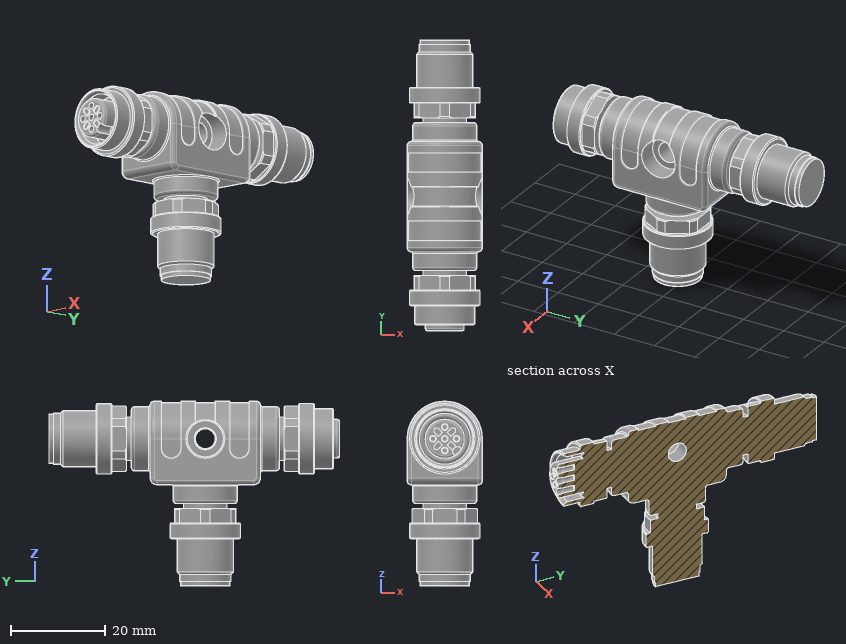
import cadquery as cq
import math


HOUSING_RADIUS = 8.0
HOUSING_HALF_LENGTH = 11.75
HOUSING_BOTTOM = 9.8
END_ROUND = 0.9
BOTTOM_ROUND = 1.5

GROOVE_DEPTH = 0.3
GROOVE_WIDTH = 4.1
GROOVE_PITCH = 7.25
GROOVE_END_DEPTH = 4.1
GROOVE_EDGE_ROUND = 0.12

SEAT_DIAMETER = 8.3
SEAT_FLOOR_DIAMETER = 7.7
SEAT_FLOOR_OFFSET = 4.0
HOLE_MOUTH_DIAMETER = 4.7
HOLE_DIAMETER = 4.2

COLLAR_DIAMETER = 13.65
COLLAR_END = 4.0
COLLAR_ROUND = 0.7
COLLAR_ROOT_FLARE = 0.3
NECK_DIAMETER = 9.3
NECK_END = 5.0
HEX_FLATS = 13.0
HEX_CORNER_DIAMETER = 14.0
HEX_CHAMFER = 0.25
HEX_END = 8.1
RING_DIAMETER = 15.0
RING_END = 11.5
RING_CHAMFER = 0.2
RING_FACE_DIAMETER = 14.3

PLUG_DIAMETER = 12.0
PLUG_END = 18.5
PLUG_TAPER_END = 19.05
LIP_DIAMETER = 10.95
LIP_END = 20.55
TIP_DIAMETER = 10.5
TIP_END = 21.5

SHELL_DIAMETER = 12.8
SHELL_EDGE_CHAMFER = 0.25
SHELL_END = 15.55
SHELL_BORE_DIAMETER = 10.8
SHELL_TAPER_DIAMETER = 11.7
SHELL_MOUTH_DIAMETER = 12.0
MOUTH_EDGE_LENGTH = 0.2
MOUTH_TAPER_LENGTH = 1.0
BORE_DEPTH = 5.0
INSERT_DIAMETER = 8.3
INSERT_END = 16.8
INSERT_ROUND = 0.5

CONTACT_CIRCLE_RADIUS = 2.5
CONTACT_DIAMETER = 1.15
CONTACT_MOUTH_DIAMETER = 1.4
CONTACT_MOUTH_DEPTH = 1.5
CONTACT_DEPTH = 4.0
POCKET_INNER_RADIUS = 1.3
POCKET_OUTER_RADIUS = 3.05
POCKET_WIDTH = 1.2
POCKET_DEPTH = 0.2
POCKET_ANGLE = 45
CONTACTS_AROUND = 4
KEYWAY_DIAMETER = 2.0
KEYWAY_RADIUS = 3.8
KEYWAY_DEPTH = 4.0
KEYWAY_ANGLE = -135

OVERCUT = 1.0
TOLERANCE = 0.001

ORIGIN = (0, 0, 0)
X_AXIS = (1, 0, 0)
Y_AXIS = (0, 1, 0)
Z_AXIS = (0, 0, 1)


def revolve_profile(points):
    """Turn a (radius, height) outline about the Z axis."""
    return cq.Workplane("XZ").polyline(points).close().revolve(360, (0, 0), (0, 1))


def cylinder(diameter, start, end):
    return cq.Workplane("XY").workplane(offset=start).circle(diameter / 2).extrude(end - start)


def arch(half_width, half_length, bottom):
    """Upright prism along Y with a half-round top centred on the origin."""
    return (
        cq.Workplane("XZ")
        .moveTo(-half_width, -bottom)
        .lineTo(-half_width, 0)
        .threePointArc((0, half_width), (half_width, 0))
        .lineTo(half_width, -bottom)
        .close()
        .extrude(half_length, both=True)
    )


def make_housing():
    body = arch(HOUSING_RADIUS, HOUSING_HALF_LENGTH, HOUSING_BOTTOM)
    body = body.edges("<Z").edges("|X").fillet(BOTTOM_ROUND)
    return body.faces("<Y or >Y").edges("not(<Z)").fillet(END_ROUND)


def cut_grooves(body):
    shell_height = 2 * HOUSING_RADIUS
    core = arch(HOUSING_RADIUS - GROOVE_DEPTH, 2 * HOUSING_HALF_LENGTH, shell_height)
    slot_radius = GROOVE_WIDTH / 2
    for position in (-1, 0, 1):
        y = position * GROOVE_PITCH
        end_depth = GROOVE_END_DEPTH if position else slot_radius
        straight_end = slot_radius - end_depth
        slot = (
            cq.Workplane("YZ")
            .moveTo(y - slot_radius, shell_height)
            .lineTo(y - slot_radius, straight_end)
            .threePointArc((y, -end_depth), (y + slot_radius, straight_end))
            .lineTo(y + slot_radius, shell_height)
            .close()
            .extrude(shell_height, both=True)
        )
        body = body.cut(slot.cut(core))
    return body.edges("%CIRCLE").filter(is_groove_rim).fillet(GROOVE_EDGE_ROUND)


def is_groove_rim(edge):
    """True for the arched edges where a groove wall meets the outer surface."""
    box = edge.BoundingBox()
    reaches_crown = abs(box.zmax - HOUSING_RADIUS) < TOLERANCE
    between_end_rounds = abs(box.center.y) < GROOVE_PITCH + GROOVE_WIDTH / 2 + GROOVE_DEPTH
    return reaches_crown and box.ylen < TOLERANCE and between_end_rounds


def make_mounting_hole():
    """Waisted hole with a tapered seat at each mouth."""
    outline = [
        (0, 0),
        (HOLE_DIAMETER / 2, 0),
        (HOLE_MOUTH_DIAMETER / 2, SEAT_FLOOR_OFFSET),
        (SEAT_FLOOR_DIAMETER / 2, SEAT_FLOOR_OFFSET),
        (SEAT_DIAMETER / 2, HOUSING_RADIUS),
        (SEAT_DIAMETER / 2, HOUSING_RADIUS + OVERCUT),
        (0, HOUSING_RADIUS + OVERCUT),
    ]
    half = revolve_profile(outline).rotate(ORIGIN, Y_AXIS, 90)
    return half.union(half.mirror("YZ"))


def make_arm_base():
    """Collar, neck, hexagon and ring, pointing along +Z from the housing face."""
    collar = cylinder(COLLAR_DIAMETER, -OVERCUT, COLLAR_END).faces(">Z").edges().fillet(COLLAR_ROUND)
    root_radius = COLLAR_DIAMETER / 2
    flare = revolve_profile([
        (0, -OVERCUT),
        (root_radius + COLLAR_ROOT_FLARE, -OVERCUT),
        (root_radius + COLLAR_ROOT_FLARE, 0),
        (root_radius, COLLAR_ROOT_FLARE),
        (0, COLLAR_ROOT_FLARE),
    ])
    neck = cylinder(NECK_DIAMETER, 0, NECK_END)
    hex_circumdiameter = HEX_FLATS / math.cos(math.pi / 6)
    hexagon = cq.Workplane("XY").workplane(offset=NECK_END)
    hexagon = hexagon.polygon(6, hex_circumdiameter).extrude(HEX_END - NECK_END)
    corner_limit = cylinder(HEX_CORNER_DIAMETER, NECK_END, HEX_END)
    hexagon = hexagon.intersect(corner_limit.faces("<Z").chamfer(HEX_CHAMFER))
    ring = revolve_profile([
        (0, HEX_END),
        (RING_DIAMETER / 2 - RING_CHAMFER, HEX_END),
        (RING_DIAMETER / 2, HEX_END + RING_CHAMFER),
        (RING_DIAMETER / 2, RING_END - RING_CHAMFER),
        (RING_FACE_DIAMETER / 2, RING_END),
        (0, RING_END),
    ])
    return collar.union(flare).union(neck).union(hexagon).union(ring)


def make_plug_arm():
    plug = revolve_profile([
        (0, HEX_END),
        (PLUG_DIAMETER / 2, HEX_END),
        (PLUG_DIAMETER / 2, PLUG_END),
        (LIP_DIAMETER / 2, PLUG_TAPER_END),
        (LIP_DIAMETER / 2, LIP_END),
        (TIP_DIAMETER / 2, LIP_END),
        (TIP_DIAMETER / 2, TIP_END),
        (0, TIP_END),
    ])
    return make_arm_base().union(plug)


def make_seal(floor):
    """Round sealing ring filling the gap around the insert at the bore floor."""
    inner = INSERT_DIAMETER / 2
    outer = SHELL_BORE_DIAMETER / 2
    middle = (inner + outer) / 2
    crown = floor + (outer - inner) / 2
    half_section = (
        cq.Workplane("XZ")
        .moveTo(inner, floor)
        .threePointArc((middle, crown), (outer, floor))
        .close()
    )
    return half_section.revolve(360, (0, 0), (0, 1))


def make_socket_arm():
    bore_floor = SHELL_END - BORE_DEPTH
    shell = cylinder(SHELL_DIAMETER, HEX_END, SHELL_END).faces(">Z").chamfer(SHELL_EDGE_CHAMFER)
    bore = revolve_profile([
        (0, bore_floor),
        (SHELL_BORE_DIAMETER / 2, bore_floor),
        (SHELL_BORE_DIAMETER / 2, SHELL_END - MOUTH_TAPER_LENGTH),
        (SHELL_TAPER_DIAMETER / 2, SHELL_END - MOUTH_EDGE_LENGTH),
        (SHELL_MOUTH_DIAMETER / 2, SHELL_END),
        (0, SHELL_END),
    ])
    insert = cylinder(INSERT_DIAMETER, HEX_END, INSERT_END).faces(">Z").edges().fillet(INSERT_ROUND)
    arm = make_arm_base().union(shell).cut(bore)
    return arm.union(make_seal(bore_floor)).union(cut_contact_face(insert))


def cut_contact_face(insert):
    """Cut the contact holes, the pockets between them and the keyway into the insert."""
    face = cq.Workplane("XY").workplane(offset=INSERT_END)
    contact = revolve_profile([
        (0, INSERT_END),
        (CONTACT_MOUTH_DIAMETER / 2, INSERT_END),
        (CONTACT_DIAMETER / 2, INSERT_END - CONTACT_MOUTH_DEPTH),
        (CONTACT_DIAMETER / 2, INSERT_END - CONTACT_DEPTH),
        (0, INSERT_END - CONTACT_DEPTH),
    ])
    insert = insert.cut(contact)
    outer_contact = contact.translate((CONTACT_CIRCLE_RADIUS, 0, 0))
    half_width = POCKET_WIDTH / 2
    arc_start = POCKET_OUTER_RADIUS - half_width
    pocket = (
        face.moveTo(POCKET_INNER_RADIUS, -half_width)
        .lineTo(arc_start, -half_width)
        .threePointArc((POCKET_OUTER_RADIUS, 0), (arc_start, half_width))
        .lineTo(POCKET_INNER_RADIUS, half_width)
        .close()
        .extrude(-POCKET_DEPTH)
    )
    for step in range(CONTACTS_AROUND):
        angle = 360 / CONTACTS_AROUND * step
        insert = insert.cut(outer_contact.rotate(ORIGIN, Z_AXIS, angle))
        insert = insert.cut(pocket.rotate(ORIGIN, Z_AXIS, angle + POCKET_ANGLE))
    keyway = face.center(KEYWAY_RADIUS, 0).circle(KEYWAY_DIAMETER / 2).extrude(-KEYWAY_DEPTH)
    return insert.cut(keyway.rotate(ORIGIN, Z_AXIS, KEYWAY_ANGLE))


def place_arm(arm, tilt, spin, offset):
    """Spin an upright arm about its axis, move it out to the housing face and tilt it about X."""
    arm = arm.rotate(ORIGIN, Z_AXIS, spin).translate((0, 0, offset))
    return arm.rotate(ORIGIN, X_AXIS, tilt)


plug_arm = make_plug_arm()
far_plug = place_arm(plug_arm, tilt=-90, spin=90, offset=HOUSING_HALF_LENGTH)
branch_plug = place_arm(plug_arm, tilt=180, spin=0, offset=HOUSING_BOTTOM)
near_socket = place_arm(make_socket_arm(), tilt=90, spin=90, offset=HOUSING_HALF_LENGTH)

housing = cut_grooves(make_housing()).cut(make_mounting_hole())
result = housing.union(far_plug).union(branch_plug).union(near_socket)